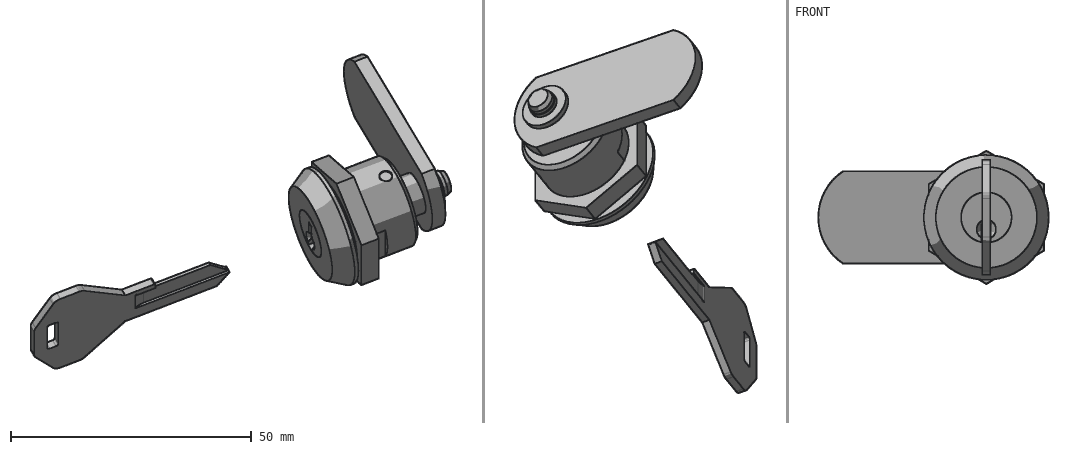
import cadquery as cq
import math


flange_radius = 13.0
flange_front_radius = 10.5
flange_cone_depth = 4.0
flange_depth = 4.9
barrel_radius = 10.0
barrel_end = 20.3
barrel_chamfer = 0.9
barrel_flat_offset = 9.0
barrel_flat_end = 13.0

nut_start = 6.0
nut_thickness = 4.0
nut_corner_width = 27.7

plug_radius = 5.3
plug_shoulder = 19.0
neck_radius = 4.5

keyway_depth = 18.0
keyway_top = 3.0
keyway_step_z = -1.4
keyway_upper_left = -0.8
keyway_upper_right = 0.5
keyway_lower_left = -1.05
keyway_lower_right = 1.0
countersink_radius = 2.0
countersink_z = -2.5

cam_start = 24.45
cam_thickness = 3.1
cam_end = cam_start + cam_thickness
cam_width = 19.2
cam_left = -35.0
cam_right = 7.6
cam_end_rise = 5.2

washer_radius = 5.1
washer_thickness = 1.1
washer_end = cam_end + washer_thickness
screw_radius = 3.0
screw_start = 20.0
screw_step = 29.5
screw_tip_radius = 2.8
screw_tip_chamfer_start = 30.4
screw_end = 31.4
screw_end_radius = 2.3

pin_radius = 1.3
pin_y = 17.4
pin_top = 9.6

key_length = 45.1
overall_length = 95.5
key_bow_end = screw_end - overall_length
key_tip = key_bow_end + key_length
key_thickness = 1.7
shank_half_width = 4.5
bow_half_width = 11.9
bow_end_half_width = 4.6
bow_corner_y = key_bow_end + 5.0
bow_shoulder_y = key_bow_end + 11.1
bow_neck_y = key_bow_end + 21.0
bow_corner_fillet = 2.0
blade_stop_y = key_bow_end + 28.0
blade_stop_fillet = 0.5
blade_top = 2.9
blade_tip_z = -1.3
blade_tip_lower_run = 3.0
blade_left = -0.5
blade_right = 0.3
groove_top = 3.1
groove_ramp_start = key_bow_end + 25.4
groove_ramp_length = 2.1
bow_slot_front = key_bow_end + 5.5
bow_slot_width = 2.5
bow_slot_height = 8.1
bow_slot_z = 0.2
bow_slot_fillet = 0.5


def disc(radius, start, end):
    """Cylinder around the lock axis from Y = start to Y = end."""
    return cq.Workplane("XZ", origin=(0, start, 0)).circle(radius).extrude(start - end)


def block(x_range, y_range, z_range):
    """Box given by its limits along each axis."""
    sizes = [high - low for low, high in (x_range, y_range, z_range)]
    corner = (x_range[0], y_range[0], z_range[0])
    return cq.Workplane("XY", origin=corner).box(*sizes, centered=False)


def revolved(profile):
    """Solid of revolution around the lock axis from (radius, Y) points."""
    return cq.Workplane("XY").polyline(profile).close().revolve(360, (0, 0, 0), (0, 1, 0))


def make_plug_blank():
    body = disc(plug_radius, 0, plug_shoulder)
    neck = disc(neck_radius, plug_shoulder, cam_start)
    return body.union(neck)


def make_keyway():
    """Stepped slot, open through the underside of the plug, with a conical lead-in."""
    depth_range = (0, keyway_depth)
    upper = block((keyway_upper_left, keyway_upper_right), depth_range, (keyway_step_z, keyway_top))
    lower = block((keyway_lower_left, keyway_lower_right), depth_range, (-plug_radius, keyway_step_z))
    cone = revolved([(0, 0), (countersink_radius, 0), (0, countersink_radius)])
    return upper.union(lower).union(cone.translate((0, 0, countersink_z)))


def make_pin_hole():
    """Radial hole through the barrel wall, from the plug outward."""
    hole = cq.Workplane("XY").center(0, pin_y).circle(pin_radius).extrude(flange_radius)
    return hole.cut(disc(plug_radius, 0, barrel_end))


def make_pin(pin_hole):
    """Cross pin standing on the plug, with a flat top."""
    below_top = block((-pin_radius, pin_radius), (0, barrel_end), (0, pin_top))
    return pin_hole.intersect(below_top)


def make_screw():
    return revolved([
        (0, screw_start),
        (screw_radius, screw_start),
        (screw_radius, screw_step),
        (screw_tip_radius, screw_step),
        (screw_tip_radius, screw_tip_chamfer_start),
        (screw_end_radius, screw_end),
        (0, screw_end),
    ])


def make_housing(plug_blank, pin_hole):
    outer = revolved([
        (0, 0),
        (flange_front_radius, 0),
        (flange_radius, flange_cone_depth),
        (flange_radius, flange_depth),
        (barrel_radius, flange_depth),
        (barrel_radius, barrel_end - barrel_chamfer),
        (barrel_radius - barrel_chamfer, barrel_end),
        (0, barrel_end),
    ])
    flat_y = (flange_depth, barrel_flat_end)
    flat_z = (-barrel_radius, barrel_radius)
    for side in (-1, 1):
        flat_x = sorted((side * barrel_flat_offset, side * flange_radius))
        outer = outer.cut(block(flat_x, flat_y, flat_z))
    return outer.cut(plug_blank).cut(pin_hole)


def make_nut():
    """Hexagon nut with two corners on the Z axis."""
    corner = nut_corner_width / 2
    corners = []
    for angle_degrees in range(90, 450, 60):
        angle = math.radians(angle_degrees)
        corners.append((corner * math.cos(angle), corner * math.sin(angle)))
    blank = cq.Workplane("XZ", origin=(0, nut_start, 0)).polyline(corners).close().extrude(-nut_thickness)
    return blank.cut(disc(barrel_radius, nut_start, nut_start + nut_thickness))


def make_cam():
    half_width = cam_width / 2
    straight_left = cam_left + cam_end_rise
    straight_right = cam_right - cam_end_rise
    plate = (
        cq.Workplane("XZ", origin=(0, cam_start, 0))
        .moveTo(straight_left, half_width)
        .lineTo(straight_right, half_width)
        .threePointArc((cam_right, 0), (straight_right, -half_width))
        .lineTo(straight_left, -half_width)
        .threePointArc((cam_left, 0), (straight_left, half_width))
        .close()
        .extrude(-cam_thickness)
    )
    return plate.cut(disc(screw_radius, cam_start, cam_end))


def make_washer():
    return disc(washer_radius, cam_end, washer_end).cut(disc(screw_radius, cam_end, washer_end))


def make_key_groove(side, floor_x):
    """Groove along one face of the blade, running out in an arc toward the bow."""
    face_x = side * key_thickness / 2
    depth = abs(face_x - floor_x)
    ramp_radius = (groove_ramp_length**2 + depth**2) / (2 * depth)
    ramp_end = groove_ramp_start - groove_ramp_length
    mid_y = groove_ramp_start - groove_ramp_length / 2
    mid_rise = ramp_radius - math.sqrt(ramp_radius**2 - (groove_ramp_length / 2) ** 2)
    return (
        cq.Workplane("XY", origin=(0, 0, blade_tip_z))
        .moveTo(face_x, key_tip)
        .lineTo(floor_x, key_tip)
        .lineTo(floor_x, groove_ramp_start)
        .threePointArc((floor_x + side * mid_rise, mid_y), (face_x, ramp_end))
        .close()
        .extrude(groove_top - blade_tip_z)
    )


def make_key():
    half_thickness = key_thickness / 2
    bow = [
        (bow_neck_y, -shank_half_width),
        (bow_shoulder_y, -bow_half_width),
        (bow_corner_y, -bow_half_width),
        (key_bow_end, -bow_end_half_width),
        (key_bow_end, bow_end_half_width),
        (bow_corner_y, bow_half_width),
        (bow_shoulder_y, bow_half_width),
        (bow_neck_y, shank_half_width),
    ]
    shank = [
        (blade_stop_y, shank_half_width),
        (blade_stop_y, blade_top),
        (key_tip - (blade_top - blade_tip_z), blade_top),
        (key_tip, blade_tip_z),
        (key_tip - blade_tip_lower_run, -shank_half_width),
    ]
    key = (
        cq.Workplane("YZ", origin=(-half_thickness, 0, 0))
        .polyline(bow + shank)
        .close()
        .extrude(key_thickness)
    )
    margin = key_thickness
    bow_corners = cq.selectors.BoxSelector(
        (-margin, key_bow_end - margin, -bow_half_width - margin),
        (margin, bow_neck_y - margin, bow_half_width + margin),
    )
    key = key.edges("|X").edges(bow_corners).fillet(bow_corner_fillet)
    stop_corner = cq.selectors.NearestToPointSelector((0, blade_stop_y, shank_half_width))
    key = key.edges("|X").edges(stop_corner).fillet(blade_stop_fillet)

    slot_y = (bow_slot_front - bow_slot_width, bow_slot_front)
    slot_z = (bow_slot_z - bow_slot_height / 2, bow_slot_z + bow_slot_height / 2)
    slot = block((-half_thickness, half_thickness), slot_y, slot_z)
    key = key.cut(slot.edges("|X").fillet(bow_slot_fillet))

    for side, floor_x in ((-1, blade_left), (1, blade_right)):
        key = key.cut(make_key_groove(side, floor_x))
    return key


plug_blank = make_plug_blank()
screw = make_screw()
pin_hole = make_pin_hole()
pin = make_pin(pin_hole)
housing = make_housing(plug_blank, pin_hole)
plug = plug_blank.cut(make_keyway()).cut(screw)
nut = make_nut()
cam = make_cam()
washer = make_washer()
key = make_key()

result = cq.Compound.makeCompound([
    housing.val(),
    nut.val(),
    plug.val(),
    pin.val(),
    cam.val(),
    washer.val(),
    screw.val(),
    key.val(),
])